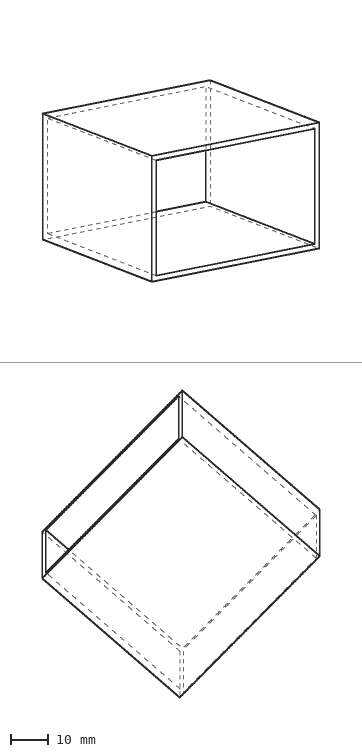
import cadquery as cq

length = 50.0
width = 55.0
height = 35.0
wall = 1.5

outer_block = cq.Workplane("XY").box(length, width, height)

opening = cq.Workplane("XY").box(length, width - 2 * wall, height - 2 * wall)

result = outer_block.cut(opening)